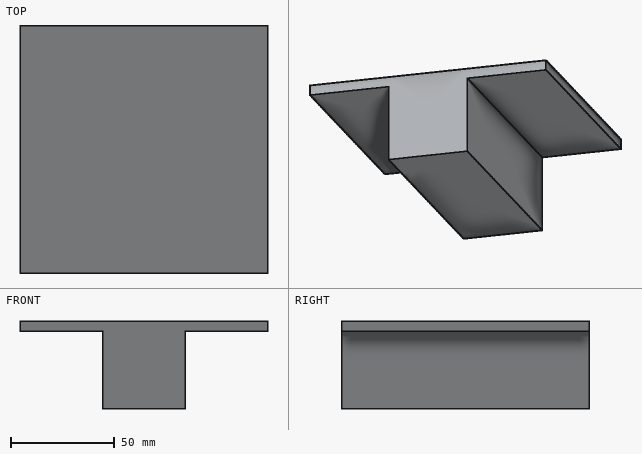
import cadquery as cq

plate_width = 120.0
part_length = 120.0
part_height = 42.5
plate_thickness = 5.0
block_width = 40.0

block_height = part_height - plate_thickness


def make_block():
    """Full-length block standing on Z = 0, centred under the plate."""
    return cq.Workplane("XY").box(
        block_width, part_length, block_height, centered=(True, True, False)
    )


def make_plate():
    """Flat square plate resting on top of the block."""
    return cq.Workplane("XY", origin=(0, 0, block_height)).box(
        plate_width, part_length, plate_thickness, centered=(True, True, False)
    )


result = make_block().union(make_plate())